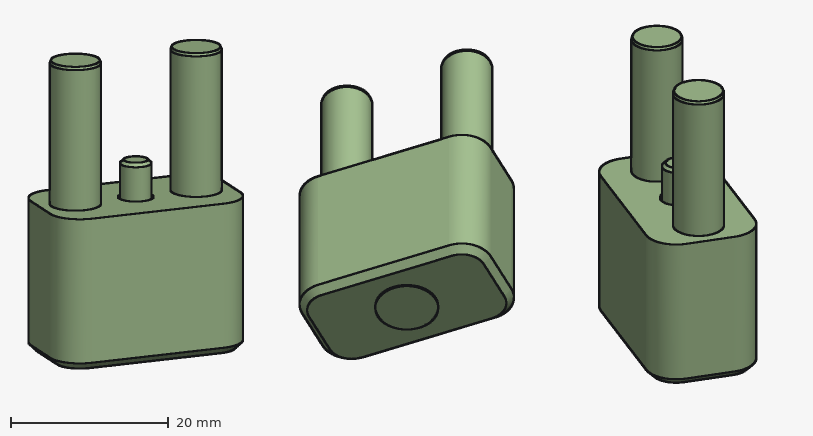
import cadquery as cq

HOUSING_WIDTH = 14.5
HOUSING_LENGTH = 26.1
HOUSING_CORNER_RADIUS = 4.0
HOUSING_BOTTOM_CHAMFER = 0.98

OVERALL_HEIGHT = 39.0
HEAD_PROTRUSION = 0.2
HOUSING_TOP = 20.12
HOUSING_HEIGHT = HOUSING_TOP - HEAD_PROTRUSION

PIN_DIAMETER = 6.5
PIN_SPACING = 16.58
PIN_DEPTH = 10.0
PIN_TIP_HEIGHT = 0.4
PIN_TIP_INSET = 0.15
PIN_BASE = HOUSING_TOP - PIN_DEPTH
PIN_LENGTH = OVERALL_HEIGHT - PIN_BASE
PIN_POSITIONS = [(0, -PIN_SPACING / 2), (0, PIN_SPACING / 2)]

SCREW_LENGTH = 25.05
SCREW_DIAMETER = 4.0
SCREW_HEAD_DIAMETER = 8.0
SCREW_TIP_CHAMFER = 0.45
SCREW_HOLE_DIAMETER = 4.5


def make_countersunk_shape(shank_diameter, top):
    """Revolved shank with a 90 degree cone and a short cylindrical rim at the bottom."""
    shank_radius = shank_diameter / 2
    head_radius = SCREW_HEAD_DIAMETER / 2
    cone_top = HEAD_PROTRUSION + head_radius - shank_radius
    profile = (
        cq.Workplane("XZ")
        .moveTo(0, 0)
        .lineTo(head_radius, 0)
        .lineTo(head_radius, HEAD_PROTRUSION)
        .lineTo(shank_radius, cone_top)
        .lineTo(shank_radius, top)
        .lineTo(0, top)
        .close()
    )
    return profile.revolve(360, (0, 0, 0), (0, 1, 0))


def make_pin(position):
    """Round guide pin with a narrow, steep bevel around its top edge."""
    x, y = position
    pin = (
        cq.Workplane("XY")
        .circle(PIN_DIAMETER / 2)
        .extrude(PIN_LENGTH)
        .faces(">Z")
        .chamfer(PIN_TIP_HEIGHT, PIN_TIP_INSET)
    )
    return pin.translate((x, y, PIN_BASE))


def make_screw():
    """Countersunk screw pointing up, with a chamfered tip."""
    screw = make_countersunk_shape(SCREW_DIAMETER, SCREW_LENGTH)
    return screw.faces(">Z").chamfer(SCREW_TIP_CHAMFER)


def make_housing():
    """Rounded block with blind pin holes and a countersunk clearance hole."""
    block = (
        cq.Workplane("XY")
        .workplane(offset=HEAD_PROTRUSION)
        .rect(HOUSING_WIDTH, HOUSING_LENGTH)
        .extrude(HOUSING_HEIGHT)
        .edges("|Z")
        .fillet(HOUSING_CORNER_RADIUS)
        .faces("<Z")
        .chamfer(HOUSING_BOTTOM_CHAMFER)
    )
    pin_holes = (
        cq.Workplane("XY")
        .workplane(offset=PIN_BASE)
        .pushPoints(PIN_POSITIONS)
        .circle(PIN_DIAMETER / 2)
        .extrude(PIN_DEPTH)
    )
    screw_hole = make_countersunk_shape(SCREW_HOLE_DIAMETER, HOUSING_TOP)
    return block.cut(pin_holes).cut(screw_hole)


housing = make_housing()
screw = make_screw()
pins = [make_pin(position) for position in PIN_POSITIONS]

result = cq.Compound.makeCompound([housing.val(), screw.val(), *[pin.val() for pin in pins]])